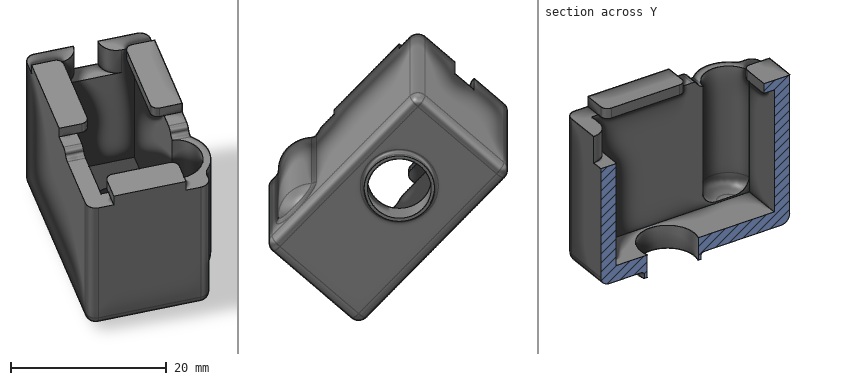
import cadquery as cq
import math

length = 29.0
depth = 16.5
wall = 2.45
corner_radius = 1.4
rim_height = 21.78
low_rim_height = 20.74
floor_thickness = 2.45

step_start = 17.84
step_run = 1.7

tab_start = 3.42
tab_length = 12.4
tab_depth = 4.03
tab_top = 23.3
end_tab_top = 22.27
end_tab_length = 4.0
end_tab_width = 9.7
tab_radius = 1.0

notch_width = 3.3
notch_floor = 17.8

hole_x = 11.05
hole_y = 9.48
hole_radius = 4.1
boss_radius = 4.52
boss_height = 1.02
boss_fillet = 0.5

pocket_radius = 3.6
bulge_wall = 1.02
bulge_top_y = 18.0
pocket_floor = 2.67
pocket_fillet = 2.03
blend_radius = 1.0

bulge_radius = pocket_radius + bulge_wall
bulge_x = length - wall - pocket_radius
bulge_y = bulge_top_y - bulge_radius
middle_y = depth / 2


def box(x0, y0, z0, x1, y1, z1):
    """Block between two opposite corners."""
    return cq.Workplane("XY").box(x1 - x0, y1 - y0, z1 - z0, centered=False).translate((x0, y0, z0))


def rounded_cup(radius, bottom, fillet):
    """Upright cylinder up to the low rim, with a rounded bottom edge, on the bulge axis."""
    cup = cq.Workplane("XY", origin=(bulge_x, bulge_y, bottom)).circle(radius)
    return cup.extrude(low_rim_height - bottom).faces("<Z").edges().fillet(fillet)


def make_body():
    body = box(0, 0, 0, length, depth, rim_height)
    return body.edges("|Z").fillet(corner_radius).faces("<Z").edges().fillet(corner_radius)


def make_bulge():
    bulge = rounded_cup(bulge_radius, pocket_floor - bulge_wall, pocket_fillet + bulge_wall)
    return bulge.intersect(box(0, middle_y, 0, length, bulge_top_y, low_rim_height))


def make_blended_shell():
    """Body and bulge, with a concave blend where the bulge meets the back wall."""
    body = make_body()
    lower_body = body.intersect(box(0, 0, 0, length, depth, low_rim_height))
    reach = math.sqrt(bulge_radius**2 - (depth - bulge_y) ** 2)
    margin = 0.15
    seam = cq.selectors.BoxSelector(
        (bulge_x - reach - margin, depth - margin, corner_radius + margin),
        (bulge_x + reach + margin, depth + margin, low_rim_height - margin),
    )
    lower_shell = lower_body.union(make_bulge()).edges(seam).fillet(blend_radius)
    return lower_shell.union(body.cut(make_step_cut()))


def make_step_cut():
    """Material above the low rim, bounded by two equal tangent arcs."""
    run = step_run / 2
    drop = (rim_height - low_rim_height) / 2
    radius = (run**2 + drop**2) / (2 * drop)
    half_angle = math.atan2(drop, run)
    bend_run = radius * math.sin(half_angle)
    bend_drop = radius * (1 - math.cos(half_angle))
    step_end = step_start + step_run
    return (
        cq.Workplane("XZ")
        .moveTo(step_start, rim_height)
        .threePointArc((step_start + bend_run, rim_height - bend_drop), (step_start + run, rim_height - drop))
        .threePointArc((step_end - bend_run, low_rim_height + bend_drop), (step_end, low_rim_height))
        .lineTo(length, low_rim_height)
        .lineTo(length, rim_height)
        .close()
        .extrude(-depth)
    )


def make_tabs():
    tab_end = tab_start + tab_length
    front = box(tab_start, 0, rim_height, tab_end, tab_depth, tab_top)
    front = front.edges("|Z and >Y").fillet(tab_radius)
    back = front.mirror("XZ", (0, middle_y, 0))
    end = box(
        length - end_tab_length,
        middle_y - end_tab_width / 2,
        low_rim_height,
        length,
        middle_y + end_tab_width / 2,
        end_tab_top,
    )
    return front, back, end.edges("|Z and <X").fillet(tab_radius)


def make_notch():
    """Slot through the left wall that flares into the cavity with quarter rounds."""
    low = middle_y - notch_width / 2
    high = middle_y + notch_width / 2
    diagonal = wall * math.sqrt(0.5)
    return (
        cq.Workplane("XY", origin=(0, 0, notch_floor))
        .moveTo(0, low)
        .threePointArc((diagonal, low - wall + diagonal), (wall, low - wall))
        .lineTo(wall, high + wall)
        .threePointArc((diagonal, high + wall - diagonal), (0, high))
        .close()
        .extrude(rim_height - notch_floor)
    )


def make_boss():
    """Boss under the floor, revolved with a concave fillet against the box."""
    diagonal = boss_fillet * (1 - math.sqrt(0.5))
    return (
        cq.Workplane("XZ")
        .lineTo(0, -boss_height)
        .lineTo(boss_radius, -boss_height)
        .lineTo(boss_radius, -boss_fillet)
        .threePointArc((boss_radius + diagonal, -diagonal), (boss_radius + boss_fillet, 0))
        .close()
        .revolve(360, (0, 0, 0), (0, 1, 0))
        .translate((hole_x, hole_y, 0))
    )


cavity = box(wall, wall, floor_thickness, length - wall, depth - wall, rim_height)
pocket = rounded_cup(pocket_radius, pocket_floor, pocket_fillet)
hole = cq.Workplane("XY", origin=(hole_x, hole_y, -boss_height)).circle(hole_radius).extrude(rim_height)

result = make_blended_shell().union(make_boss())
result = result.cut(cavity).cut(pocket).cut(make_notch()).cut(hole)
for tab in make_tabs():
    result = result.union(tab)